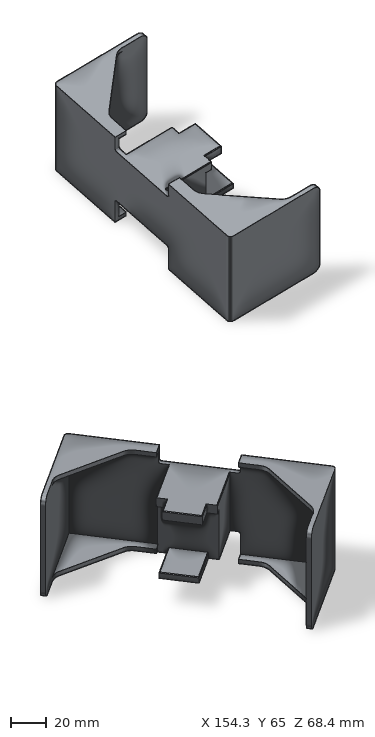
import cadquery as cq

length = 154.3
depth = 65.0
height = 68.4
wall = 3.0

front_edge_radius = 2.5
wall_corner_radius = 5.0

flange_depth = 8.0
gusset_depth = 43.2
gusset_radius = 9.0

notch_width = 46.8
top_notch_depth = 10.6
bottom_notch_depth = 18.0
notch_radius = 1.5

block_width = 35.0
block_depth = 31.8
shoulder_depth = 36.0
upper_lip_thickness = 6.0
lower_lip_thickness = 4.0
tab_width = 22.8
upper_tab_depth = 48.0
lower_tab_depth = 56.6
block_chamfer = 0.5

block_top = height - top_notch_depth
block_bottom = bottom_notch_depth


def centered_box(width, y_start, y_end, z_start, z_end):
    """Box centred on X between the given Y and Z limits."""
    return cq.Workplane("XY").box(
        width, y_end - y_start, z_end - z_start, centered=(True, False, False)
    ).translate((0, y_start, z_start))


def bracket_shell():
    """Front plate, end walls and the gusset plates along top and bottom."""
    half = length / 2
    inner = half - wall
    gusset_end = inner - (gusset_depth - flange_depth)

    shell = centered_box(length, 0, depth, 0, height)
    shell = shell.edges("|Z and <Y").fillet(front_edge_radius)
    shell = shell.edges("|X and >Y").fillet(wall_corner_radius)

    opening = (
        cq.Workplane("XY")
        .moveTo(-inner, depth)
        .lineTo(-inner, gusset_depth)
        .lineTo(-gusset_end, flange_depth)
        .lineTo(gusset_end, flange_depth)
        .lineTo(inner, gusset_depth)
        .lineTo(inner, depth)
        .close()
        .extrude(height)
        .edges("|Z and (not >Y)")
        .fillet(gusset_radius)
    )
    cavity = centered_box(length - 2 * wall, wall, depth, wall, height - wall)
    return shell.cut(opening).cut(cavity)


def notch(z_start, z_end, inner_side):
    """Cutter for a front plate notch, rounded on its inner corners."""
    cutter = centered_box(notch_width, 0, flange_depth, z_start, z_end)
    return cutter.edges(f"|Y and {inner_side}").fillet(notch_radius)


def tab(tab_depth, z_start, z_end):
    """Narrow lip reaching back from the block, with its upper rim chamfered."""
    lip = centered_box(tab_width, wall, tab_depth, z_start, z_end)
    return lip.faces(">Z").edges("|Y or >Y").chamfer(block_chamfer)


def block():
    """Central block with a shoulder along its upper rear edge and two tabs."""
    shoulder_bottom = block_top - upper_lip_thickness
    lower_tab_top = block_bottom + lower_lip_thickness

    body = centered_box(block_width, 0, block_depth, block_bottom, block_top)
    shoulder = centered_box(block_width, 0, shoulder_depth, shoulder_bottom, block_top)
    body = body.union(shoulder).faces(">Z").edges("|Y").chamfer(block_chamfer)
    upper_tab = tab(upper_tab_depth, shoulder_bottom, block_top)
    lower_tab = tab(lower_tab_depth, block_bottom, lower_tab_top)
    return body.union(upper_tab).union(lower_tab)


result = (
    bracket_shell()
    .cut(notch(block_top, height, "<Z"))
    .cut(notch(0, block_bottom, ">Z"))
    .union(block())
)